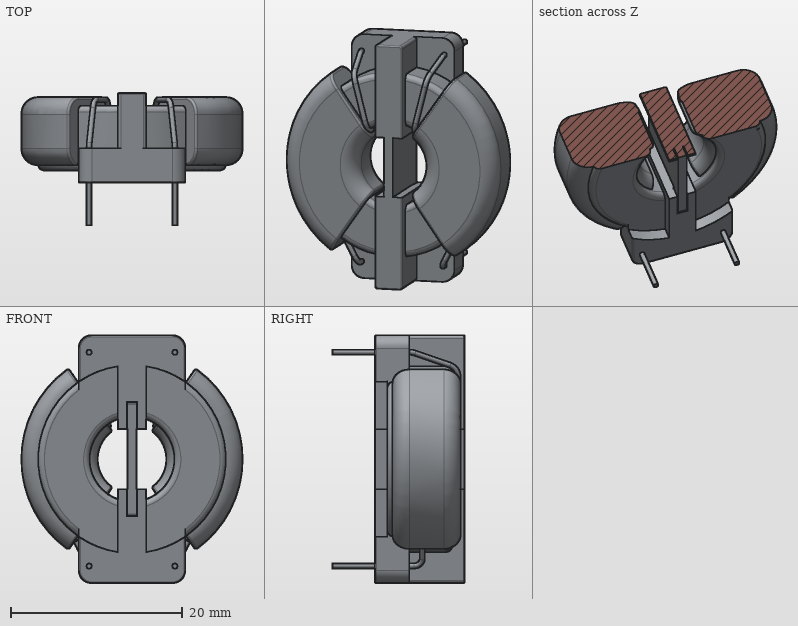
import cadquery as cq


overall_width = 25.9
overall_height = 29.0
overall_depth = 15.5
pin_length = 5.0
holder_depth = overall_depth - pin_length

core_radius = 11.0
core_bore_radius = 4.95
core_front = 1.42
core_back = 9.02
core_fillet = 0.72

winding_radius = overall_width / 2
winding_bore_radius = 4.0
winding_front = 2.03
winding_back = 10.03
winding_fillet = 2.0
winding_half_angle = 55.0
winding_end_fillet = 0.25

block_width = 12.47
block_depth = 4.03
block_inner_z = 8.18
block_corner_radius = 1.5
front_edge_fillet = 0.17
spine_width = 3.3
spine_inner_z = 3.5
spine_side_fillet = 0.35
spine_back_fillet = 0.17

divider_thickness = 1.07
divider_length = 13.22
divider_end_fillet = 0.2
slot_clearance = 0.1

wire_diameter = 0.6
pin_x = 5.02
pin_z = 12.5
wire_embed = 0.3

lead_back_y = 9.72
lead_bore_x = 2.75
lead_bore_z = 3.92
upper_exit_y = 4.4
upper_bend_point = (4.47, lead_back_y, 10.67)
upper_bore_corner = (lead_bore_x, lead_back_y, lead_bore_z)
upper_wire_end = (lead_bore_x, 7.83, lead_bore_z)
upper_bend_radius = 1.45

lower_bend_y = 5.55
lower_wire_end = (6.55, lower_bend_y, -9.57)
lower_bend_radius = 1.02


def box_between(x0, x1, y0, y1, z0, z1):
    """Axis-aligned box given by its limits."""
    return cq.Workplane("XY").box(x1 - x0, y1 - y0, z1 - z0, centered=False).translate((x0, y0, z0))


def ring_section(inner, outer, front, back, fillet, angle):
    """Rounded rectangular section revolved about Y, centred on +X."""
    section = (
        cq.Sketch()
        .polygon([(inner, front), (outer, front), (outer, back), (inner, back), (inner, front)])
        .vertices()
        .fillet(fillet)
    )
    ring = cq.Workplane("XY").placeSketch(section).revolve(angle, (0, 0, 0), (0, 1, 0))
    return ring.rotate((0, 0, 0), (0, 1, 0), -angle / 2)


def make_winding():
    """Winding on the +X side with softened end faces."""
    winding = ring_section(
        winding_bore_radius,
        winding_radius,
        winding_front,
        winding_back,
        winding_fillet,
        2 * winding_half_angle,
    )
    return winding.faces("%PLANE").faces("<Z or >Z").edges().fillet(winding_end_fillet)


def make_block():
    """Terminal block of the upper clip, recessed for the core face."""
    half_block = block_width / 2
    half_height = overall_height / 2
    block = box_between(-half_block, half_block, 0, block_depth, block_inner_z, half_height)
    block = block.edges("|Y and >Z").fillet(block_corner_radius)
    block = block.faces("<Y").edges("not(<Z)").fillet(front_edge_fillet)
    recess = cq.Workplane("XZ").circle(core_radius).extrude(-core_front)
    return block.cut(recess)


def make_spine():
    """Spine of the upper clip, running through the bore and around the core."""
    half_spine = spine_width / 2
    body = box_between(-half_spine, half_spine, core_front, holder_depth, spine_inner_z, overall_height / 2)
    body = body.edges("|Y and >Z").fillet(spine_side_fillet)
    body = body.faces(">Y").edges("not(<Z)").fillet(spine_back_fillet)
    front_leg = box_between(-half_spine, half_spine, 0, core_front, spine_inner_z, core_radius)
    return body.union(front_leg)


def make_slot():
    """Clearance slot for the divider in the front legs of both spines."""
    half_width = divider_thickness / 2 + slot_clearance
    half_length = divider_length / 2 + slot_clearance
    return box_between(-half_width, half_width, 0, core_front, -half_length, half_length)


def make_divider():
    """Divider plate that closes the bore from front to back."""
    half_width = divider_thickness / 2
    half_length = divider_length / 2
    divider = box_between(-half_width, half_width, 0, holder_depth, -half_length, half_length)
    return divider.faces("<Y").edges("|X").fillet(divider_end_fillet)


def make_lead(points, bend_radius):
    """Round wire through the points, with its corners rounded to the bend radius."""
    path = cq.Wire.makePolygon([cq.Vector(*point) for point in points]).fillet(bend_radius)
    start = cq.Plane(origin=points[0], xDir=(1, 0, 0), normal=(0, 1, 0))
    return cq.Workplane(start).circle(wire_diameter / 2).sweep(cq.Workplane(path))


def make_pin(z):
    """Straight pin on the +X side at the given height."""
    length = pin_length + wire_embed
    return cq.Workplane("XZ", origin=(pin_x, wire_embed, z)).circle(wire_diameter / 2).extrude(length)


core = ring_section(core_bore_radius, core_radius, core_front, core_back, core_fillet, 360)

upper_clip = make_block().union(make_spine())
holder = upper_clip.union(upper_clip.mirror("XY")).cut(make_slot())

lead_start_y = block_depth - wire_embed
upper_lead = make_lead(
    [
        (pin_x, lead_start_y, pin_z),
        (pin_x, upper_exit_y, pin_z),
        upper_bend_point,
        upper_bore_corner,
        upper_wire_end,
    ],
    upper_bend_radius,
)
lower_lead = make_lead(
    [
        (pin_x, lead_start_y, -pin_z),
        (pin_x, lower_bend_y, -pin_z),
        lower_wire_end,
    ],
    lower_bend_radius,
)

result = core.union(holder).union(make_divider())
for side_part in (make_winding(), upper_lead, lower_lead, make_pin(pin_z), make_pin(-pin_z)):
    result = result.union(side_part).union(side_part.mirror("YZ"))